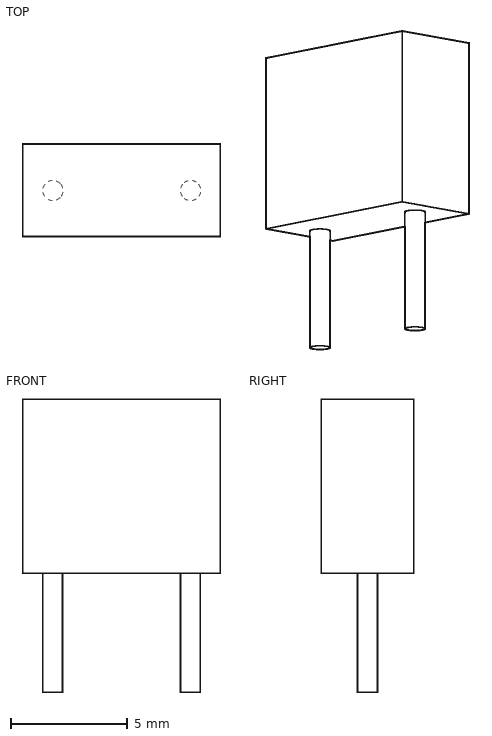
import cadquery as cq

housing_length = 8.5
housing_width = 3.99
overall_height = 12.62
housing_height = 7.5

pin_diameter = 0.87
pin_spacing = 5.93
pin_length = overall_height - housing_height


def make_housing():
    """Plain rectangular block whose underside lies at Z = 0."""
    return cq.Workplane("XY").box(
        housing_length, housing_width, housing_height, centered=(True, True, False)
    )


def make_pin(x):
    """Straight round pin hanging from the housing underside at the given X."""
    return cq.Workplane("XY").center(x, 0).circle(pin_diameter / 2).extrude(-pin_length)


housing = make_housing()
pins = [make_pin(side * pin_spacing / 2) for side in (-1, 1)]

result = cq.Compound.makeCompound([housing.val(), *[pin.val() for pin in pins]])